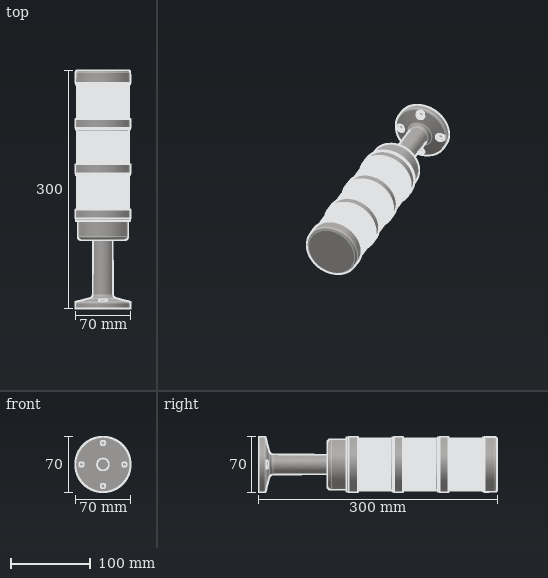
import cadquery as cq
import math


foot_corner_height = 8.8
base_bottom = 86.0
modules_bottom = 113.0
module_pitch = 57.0
module_count = 3
total_length = 300.0
cap_bottom = modules_bottom + module_count * module_pitch

foot_radius = 70.0 / 2
foot_edge_fillet = 1.5
foot_slope = math.radians(14.0)
pole_bottom_radius = 26.0 / 2
pole_top_radius = 25.0 / 2
pole_flare_fillet = 4.5
cable_bore_diameter = 15.0

mounting_hole_count = 4
mounting_circle_radius = 54.0 / 2
mounting_hole_diameter = 6.0
spotface_diameter = 11.0
spotface_floor = 8.0

base_radius = 64.0 / 2
base_bottom_fillet = 5.0

ring_radius = 70.0 / 2
collar_radius = 69.0 / 2
ring_height = 12.0
ring_edge_chamfer = 0.5
base_collar_height = 3.0
module_collar_height = 2.0
collar_edge_chamfer = 0.5

lens_radius = 66.0 / 2
groove_depth = 0.5
groove_width = 1.4
groove_pitch = 2.5
groove_count = 16
first_groove_below_collar = 2.3

cap_top_radius = 69.0 / 2
cap_edge_fillet = 3.0


selection_margin = 0.1


def revolve_about_y(profile):
    """Closes a half profile in the XY plane and turns it about the tower's axis."""
    return profile.close().revolve(360, (0, 0, 0), (0, 1, 0))


def circle_at(height):
    """Selects the circular edges at one height along the tower."""
    return cq.selectors.BoxSelector(
        (-foot_radius, height - selection_margin, -foot_radius),
        (foot_radius, height + selection_margin, foot_radius),
    )


def make_stand():
    """Foot, pole and base housing in one piece."""
    slope_run = foot_radius - pole_bottom_radius
    cone_top = foot_corner_height + slope_run * math.tan(foot_slope)
    body = revolve_about_y(
        cq.Workplane("XY")
        .lineTo(foot_radius, 0)
        .lineTo(foot_radius, foot_corner_height)
        .lineTo(pole_bottom_radius, cone_top)
        .lineTo(pole_top_radius, base_bottom)
        .lineTo(base_radius - base_bottom_fillet, base_bottom)
        .radiusArc((base_radius, base_bottom + base_bottom_fillet), -base_bottom_fillet)
        .lineTo(base_radius, modules_bottom - base_collar_height)
        .lineTo(collar_radius - collar_edge_chamfer, modules_bottom - base_collar_height)
        .lineTo(collar_radius, modules_bottom - base_collar_height + collar_edge_chamfer)
        .lineTo(collar_radius, modules_bottom)
        .lineTo(0, modules_bottom)
    )
    body = body.edges(circle_at(foot_corner_height)).fillet(foot_edge_fillet)
    body = body.edges(circle_at(cone_top)).fillet(pole_flare_fillet)
    bore = cq.Workplane("XZ").circle(cable_bore_diameter / 2).extrude(-base_bottom)
    body = body.cut(bore)
    holes = (
        cq.Workplane("XZ")
        .polarArray(mounting_circle_radius, 0, 360, mounting_hole_count)
        .circle(mounting_hole_diameter / 2)
        .extrude(-cone_top)
    )
    spots = (
        cq.Workplane("XZ", origin=(0, spotface_floor, 0))
        .polarArray(mounting_circle_radius, 0, 360, mounting_hole_count)
        .circle(spotface_diameter / 2)
        .extrude(spotface_floor - cone_top)
    )
    return body.cut(holes).cut(spots)


def make_module(bottom):
    """Ring at the bottom, grooved lens above it and a joint collar on top."""
    top = bottom + module_pitch
    ring_top = bottom + ring_height
    collar_bottom = top - module_collar_height
    profile = (
        cq.Workplane("XY").moveTo(0, bottom)
        .lineTo(collar_radius, bottom)
        .lineTo(ring_radius, bottom + ring_edge_chamfer)
        .lineTo(ring_radius, ring_top - ring_edge_chamfer)
        .lineTo(ring_radius - ring_edge_chamfer, ring_top)
        .lineTo(lens_radius, ring_top)
    )
    for i in reversed(range(groove_count)):
        groove_top = collar_bottom - first_groove_below_collar - i * groove_pitch
        groove_bottom = groove_top - groove_width
        profile = profile.lineTo(lens_radius, groove_bottom).threePointArc(
            (lens_radius - groove_depth, groove_bottom + groove_width / 2),
            (lens_radius, groove_top),
        )
    return revolve_about_y(
        profile.lineTo(lens_radius, collar_bottom)
        .lineTo(collar_radius - collar_edge_chamfer, collar_bottom)
        .lineTo(collar_radius, collar_bottom + collar_edge_chamfer)
        .lineTo(collar_radius, top)
        .lineTo(0, top)
    )


def make_cap():
    """Slightly tapered cap with a rounded top edge."""
    cap = revolve_about_y(
        cq.Workplane("XY").moveTo(0, cap_bottom)
        .lineTo(collar_radius, cap_bottom)
        .lineTo(ring_radius, cap_bottom + ring_edge_chamfer)
        .lineTo(cap_top_radius, total_length)
        .lineTo(0, total_length)
    )
    return cap.faces(">Y").edges().fillet(cap_edge_fillet)


stand = make_stand()
modules = [make_module(modules_bottom + i * module_pitch) for i in range(module_count)]
cap = make_cap()

result = cq.Compound.makeCompound([stand.val(), *[m.val() for m in modules], cap.val()])